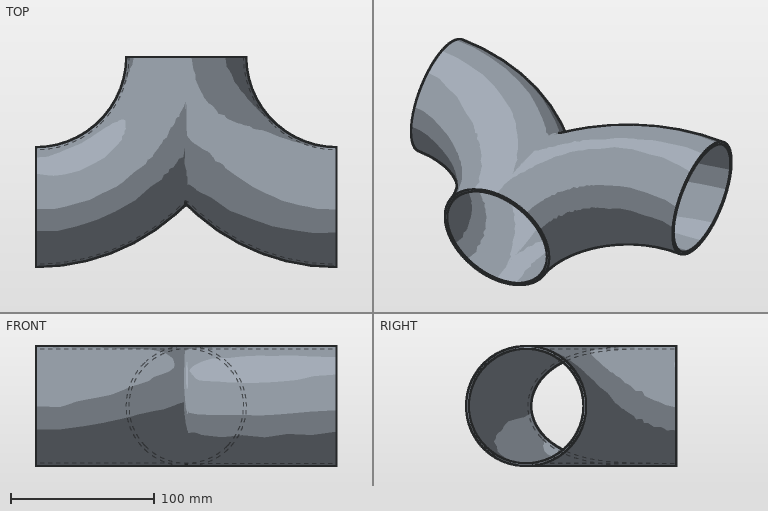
import cadquery as cq

outer_diameter = 84.0
wall = 2.0
bend_radius = 105.0
outer_seam_radius = 2.0
bore_seam_radius = 3.0
seam_runout = 2.0

outer_radius = outer_diameter / 2
bore_radius = outer_radius - wall
outlet_y = bend_radius
seam_end_y = outlet_y - seam_runout


def elbow(side, radius):
    """Solid quarter bend from one side opening (side is -1 or 1) to the shared outlet."""
    return (
        cq.Workplane("YZ", origin=(side * bend_radius, 0, 0))
        .circle(radius)
        .revolve(90, (bend_radius, 0, 0), (bend_radius, -side, 0))
    )


def is_seam(edge):
    """True for the edge where the two bends meet, which lies in the plane X = 0."""
    tolerance = 0.02
    box = edge.BoundingBox()
    return abs(box.xmin) < tolerance and abs(box.xmax) < tolerance


def twin_bend(radius, seam_radius):
    """Both bends as one solid, with the seam rounded up to its runout near the outlet."""
    bends = elbow(-1, radius).union(elbow(1, radius))
    width = 4 * bend_radius
    below_runout = cq.Workplane("XY").box(width, width, width).translate((0, seam_end_y - width / 2, 0))
    body = bends.intersect(below_runout)
    seam = [edge for edge in body.edges().vals() if is_seam(edge)]
    return bends.union(body.newObject(seam).fillet(seam_radius))


outside = twin_bend(outer_radius, outer_seam_radius)
bore = twin_bend(bore_radius, bore_seam_radius)
result = outside.cut(bore).solids()